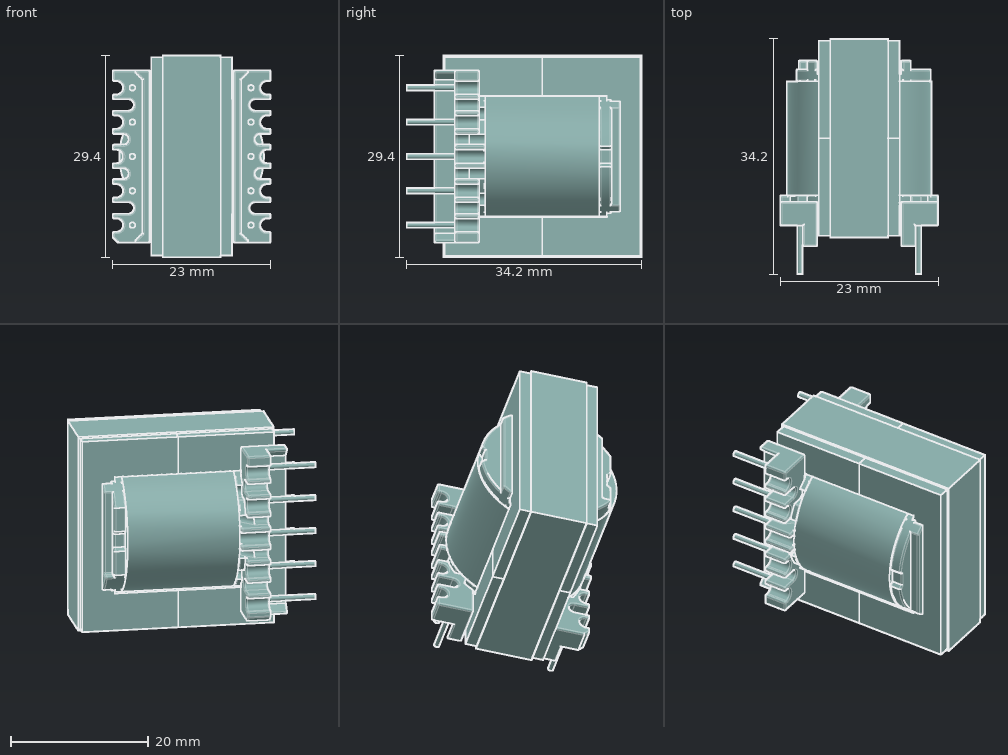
import cadquery as cq
import math


core_half_x = 5.9
core_half_y = 14.2
core_half_z = 14.45
window_half_y = 9.4
window_half_z = 8.85
leg_radius = 4.93

tape_half_x = 4.2
tape_thickness = 0.257

winding_half_y = 8.3
winding_half_z = 8.77
bulge_radius = 9.93
bulge_offset = 0.6
bulge_half_x = bulge_offset + bulge_radius
flat_half_x = bulge_offset + math.sqrt(bulge_radius**2 - winding_half_z**2)

tube_inner_radius = 5.07
tube_outer_radius = 5.95
flange_start = winding_half_y
neck_end = window_half_y
lip_end = 9.75

side_inner_x = 6.1
edge_radius = 0.25
neck_half_x = side_inner_x + edge_radius
small_edge_radius = 0.17

rear_plate_end = 10.07
flat_side_x = 9.15
rear_notch_half_mouth = 1.5
rear_notch_half_floor = 1.0
rear_notch_depth = 0.5
ridge_outer_x = 7.55
ridge_end = 11.35
ridge_step_z = -5.27

front_plate_end = 9.2
wire_notch_z = 6.27
wire_notch_radius = 0.9
wire_notch_end_x = 6.85

block_outer_x = 11.5
block_half_z = 12.57
block_start = front_plate_end
block_end = 12.75
corner_cut = 0.75
tab_half_z = 2.4
foot_outer_x = 7.2
foot_end = 15.75
foot_flare = 1.37

pin_pitch = 5.0
pin_rows = [-2, -1, 0, 1, 2]
pin_x = 8.63
pin_radius = 0.4
overall_length = 34.25
pin_end = overall_length - core_half_y - tape_thickness
scallop_radius = 0.95
scallop_end_x = 10.0

outer_slot_z = 1.5 * pin_pitch
outer_slot_radius = 0.82
outer_slot_end_x = 8.43
inner_slot_z = 0.5 * pin_pitch
inner_slot_radius = 0.75
inner_slot_end_x = 9.18
ramp_start = 10.62
ramp_rise = ramp_start - flange_start

overshoot = 3.42


def box(x_range, y_range, z_range):
    """A box given by its limits along each axis."""
    lows, highs = zip(*(sorted(limits) for limits in (x_range, y_range, z_range)))
    sizes = [high - low for low, high in zip(lows, highs)]
    return cq.Workplane("XY").box(*sizes, centered=False).translate(lows)


def section_at(y):
    """A sketch plane across the Y axis, with its normal along -Y."""
    return cq.Workplane("XZ", origin=(0, y, 0))


def barrel(y_low, y_high):
    """A prism along Y with the outline shared by the winding and the flanges."""
    return (
        section_at(y_high)
        .moveTo(-flat_half_x, winding_half_z)
        .lineTo(flat_half_x, winding_half_z)
        .threePointArc((bulge_half_x, 0), (flat_half_x, -winding_half_z))
        .lineTo(-flat_half_x, -winding_half_z)
        .threePointArc((-bulge_half_x, 0), (-flat_half_x, winding_half_z))
        .close()
        .extrude(y_high - y_low)
    )


def cylinder(radius, y_low, y_high):
    """A cylinder around the Y axis."""
    return section_at(y_high).circle(radius).extrude(y_high - y_low)


def slot_sketch(plane, end_x, z, radius):
    """Outline of a round-ended slot that comes in from the -X side and ends at end_x."""
    mouth_x = -block_outer_x - overshoot
    arc_x = end_x - radius
    return (
        plane.moveTo(mouth_x, z - radius)
        .lineTo(arc_x, z - radius)
        .threePointArc((end_x, z), (arc_x, z + radius))
        .lineTo(mouth_x, z + radius)
        .close()
    )


def slot(end_x, z, radius, y_low, y_high):
    """A round-ended slot cutter along Y."""
    return slot_sketch(section_at(y_high), end_x, z, radius).extrude(y_high - y_low)




def make_core_half(side):
    """An E-shaped half with a round centre leg; side is +1 for the rear half, -1 for the front."""
    half = box((-core_half_x, core_half_x), (0, side * core_half_y), (-core_half_z, core_half_z))
    window = box((-core_half_x, core_half_x), (0, side * window_half_y), (-window_half_z, window_half_z))
    leg_low, leg_high = sorted((0, side * window_half_y))
    return half.cut(window).union(cylinder(leg_radius, leg_low, leg_high))




def make_tape():
    """A closed band wrapped around the outside of both core halves."""
    return (
        cq.Workplane("YZ", origin=(-tape_half_x, 0, 0))
        .rect(2 * (core_half_y + tape_thickness), 2 * (core_half_z + tape_thickness))
        .rect(2 * core_half_y, 2 * core_half_z)
        .extrude(2 * tape_half_x)
    )




def make_winding():
    bore = cylinder(tube_outer_radius, -winding_half_y, winding_half_y)
    return barrel(-winding_half_y, winding_half_y).cut(bore)




def make_neck(y_low, y_high):
    """The part of a flange that passes through the core window."""
    neck_x = (-neck_half_x, neck_half_x)
    return barrel(y_low, y_high).intersect(box(neck_x, (y_low, y_high), (-block_half_z, block_half_z)))


def beside_core(side, outer_x, y_range):
    """A tall box on one side of the core, used to trim flange pieces."""
    return box((side * side_inner_x, side * outer_x), y_range, (-block_half_z, block_half_z))


def rear_notch(side, rim_x):
    """A shallow notch with slanted walls in the side of the rear flange."""
    floor_x = rim_x - rear_notch_depth
    slope = (rear_notch_half_mouth - rear_notch_half_floor) / rear_notch_depth
    mouth_x = rim_x + rear_notch_depth
    half_mouth = rear_notch_half_mouth + slope * rear_notch_depth
    outline = [
        (side * floor_x, -rear_notch_half_floor),
        (side * mouth_x, -half_mouth),
        (side * mouth_x, half_mouth),
        (side * floor_x, rear_notch_half_floor),
    ]
    return section_at(ridge_end).polyline(outline).close().extrude(ridge_end - flange_start)


def rear_flange_side(side, plate_outer_x, notch_rim_x):
    """The part of the rear flange beside the core: a notched plate with a ridge along the core."""
    plate_y = (flange_start, rear_plate_end)
    plate = barrel(*plate_y).intersect(beside_core(side, plate_outer_x, plate_y))
    plate = plate.cut(rear_notch(side, notch_rim_x))
    plate = plate.faces(">Y or <Y").edges().fillet(edge_radius)

    ridge_y = (flange_start, ridge_end)
    ridge_room = beside_core(side, ridge_outer_x, ridge_y)
    if side < 0:
        step_x = (-side_inner_x, -flat_side_x)
        ridge_room = ridge_room.union(box(step_x, ridge_y, (-block_half_z, ridge_step_z)))
    ridge = barrel(*ridge_y).intersect(ridge_room)
    ridge = ridge.edges("|Y").fillet(edge_radius)
    ridge = ridge.faces(">Y").edges().fillet(edge_radius)
    return plate.union(ridge)


def make_rear_flange():
    neck = make_neck(flange_start, neck_end)
    half_mouth_angle = math.asin(rear_notch_half_mouth / bulge_radius)
    bulge_rim_x = bulge_offset + bulge_radius * math.cos(half_mouth_angle)
    flat_side = rear_flange_side(-1, flat_side_x, flat_side_x)
    round_side = rear_flange_side(1, bulge_half_x, bulge_rim_x)
    return neck.union(flat_side).union(round_side)


def notch_mouths(side):
    """Selects what lies farther out than the round ends of the wire notches on one side."""
    inner_x = side * (wire_notch_end_x + wire_notch_radius + small_edge_radius)
    outer_x = side * bulge_half_x
    return cq.selectors.BoxSelector(
        (inner_x, -front_plate_end, -winding_half_z), (outer_x, -flange_start, winding_half_z)
    )


def make_front_flange():
    """A notched plate, thicker in the core window, with a lip along each side face of the core."""
    plate = barrel(-front_plate_end, -flange_start)
    for z in (-wire_notch_z, wire_notch_z):
        notch = slot(-wire_notch_end_x, z, wire_notch_radius, -front_plate_end, -flange_start)
        plate = plate.cut(notch).cut(notch.mirror("YZ"))
    for side in (-1, 1):
        plate = plate.edges("|Y").edges(notch_mouths(side)).fillet(small_edge_radius)
    plate = plate.faces(">Y").edges().fillet(small_edge_radius)
    for cutter in block_slots():
        plate = plate.cut(cutter).cut(cutter.mirror("YZ"))
    flange = plate.union(make_neck(-neck_end, -flange_start))
    lip_y = (-lip_end, -flange_start)
    for side in (-1, 1):
        lip_x = (side * core_half_x, side * neck_half_x)
        lip = barrel(*lip_y).intersect(box(lip_x, lip_y, (-block_half_z, block_half_z)))
        flange = flange.union(lip)
    return flange


def make_foot():
    """A rail below the inner edge of the -X block, flaring outward at both ends."""
    flare_x = foot_outer_x + foot_flare
    flare_z = block_half_z - foot_flare
    outline = [
        (-side_inner_x, -block_half_z),
        (-flare_x, -block_half_z),
        (-foot_outer_x, -flare_z),
        (-foot_outer_x, flare_z),
        (-flare_x, block_half_z),
        (-side_inner_x, block_half_z),
    ]
    middle = (block_start + block_end) / 2
    foot = section_at(-middle).polyline(outline).close().extrude(foot_end - middle)
    foot = foot.edges("|Y and (>X or >Z or <Z)").fillet(edge_radius)
    return foot.faces("<Y").edges().fillet(edge_radius)


def block_slots():
    """All the wire slots and scallops of the -X block, as cutters."""
    y_limits = (-block_end, -flange_start)
    cutters = [slot(-scallop_end_x, row * pin_pitch, scallop_radius, *y_limits) for row in pin_rows]
    for sign in (-1, 1):
        cutters.append(slot(-outer_slot_end_x, sign * outer_slot_z, outer_slot_radius, *y_limits))
        cutters.append(slot(-inner_slot_end_x, sign * inner_slot_z, inner_slot_radius, *y_limits))
    return cutters


def slot_ramp(sign):
    """The wire lead-in: the inner slot slants toward the core as it nears the winding."""
    z = sign * inner_slot_z
    start = slot_sketch(section_at(-ramp_start), -inner_slot_end_x, z, inner_slot_radius)
    deep = slot_sketch(section_at(-flange_start), -inner_slot_end_x + ramp_rise, z, inner_slot_radius)
    wires = [start.wires().val(), deep.wires().val()]
    return cq.Workplane(cq.Solid.makeLoft(wires, True))


def back_edges(sign):
    """Selects the edges of the block's back face above (+1) or below (-1) the tab."""
    thin = 0.05
    near_corner = (-block_outer_x - thin, -block_start - thin, sign * (tab_half_z + thin))
    far_corner = (-side_inner_x + thin, -block_start + thin, sign * (block_half_z + thin))
    return cq.selectors.BoxSelector(near_corner, far_corner)


def make_block(with_corner_cut):
    """The terminal block on the -X side, with its foot."""
    block_x = (-block_outer_x, -side_inner_x)
    block = box(block_x, (-block_end, -block_start), (-block_half_z, block_half_z))
    if with_corner_cut:
        block = block.edges("|Y and <X and <Z").chamfer(corner_cut)
    block = block.union(box(block_x, (-block_start, -flange_start), (-tab_half_z, tab_half_z)))
    for cutter in block_slots():
        block = block.cut(cutter)
    block = block.faces("<X").edges("|Y").fillet(edge_radius)
    block = block.edges("|Y and >X and (>Z or <Z)").fillet(edge_radius)
    block = block.edges(back_edges(1)).fillet(edge_radius)
    block = block.edges(back_edges(-1)).fillet(edge_radius)
    block = block.faces("<Y").edges().fillet(edge_radius)
    block = block.faces(">Y").edges().fillet(edge_radius)
    return block.union(make_foot())


def make_pins():
    """The terminals of the -X block."""
    pin_centres = [(-pin_x, row * pin_pitch) for row in pin_rows]
    pin_root = block_start + edge_radius
    return section_at(-pin_root).pushPoints(pin_centres).circle(pin_radius).extrude(pin_end - pin_root)


def make_bobbin():
    tube = cylinder(tube_outer_radius, -neck_end, neck_end)
    bobbin = tube.union(make_front_flange()).union(make_rear_flange())
    pins = make_pins()
    bobbin = bobbin.union(make_block(True)).union(make_block(False).mirror("YZ"))
    bobbin = bobbin.union(pins).union(pins.mirror("YZ"))
    for sign in (-1, 1):
        ramp = slot_ramp(sign)
        bobbin = bobbin.cut(ramp).cut(ramp.mirror("YZ"))
    return bobbin.cut(cylinder(tube_inner_radius, -neck_end, neck_end))


front_core = make_core_half(-1)
rear_core = make_core_half(1)
tape = make_tape()
winding = make_winding()
bobbin = make_bobbin()

result = cq.Compound.makeCompound(
    [front_core.val(), rear_core.val(), tape.val(), winding.val(), bobbin.val()]
)